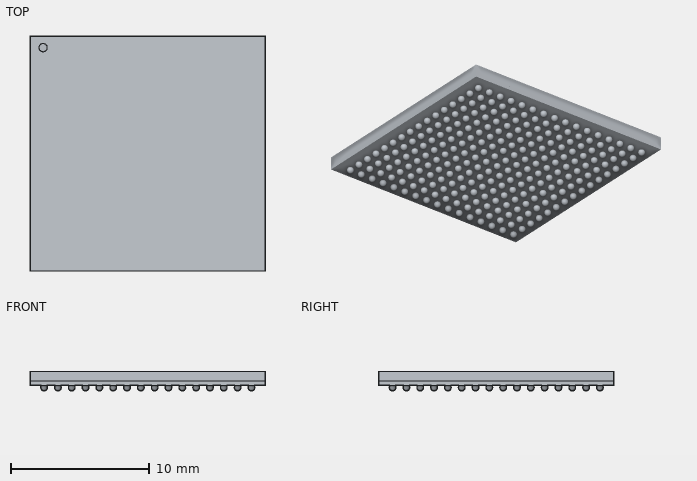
import cadquery as cq

package_side = 17.0
overall_height = 1.41

standoff = 0.40
substrate_thickness = 0.30
mold_thickness = overall_height - standoff - substrate_thickness
mold_base = standoff + substrate_thickness

balls_per_side = 16
ball_pitch = 1.0
ball_diameter = 0.5
ball_radius = ball_diameter / 2

pin_mark_diameter = 0.6
pin_mark_depth = 0.02
pin_mark_inset_x = 0.93
pin_mark_inset_y = 0.83


def make_substrate():
    """Square substrate with a full grid of solder balls sunk into and fused to its underside."""
    board = (
        cq.Workplane("XY")
        .workplane(offset=standoff)
        .rect(package_side, package_side)
        .extrude(substrate_thickness)
    )
    ball = cq.Solid.makeSphere(ball_radius, angleDegrees1=-90, angleDegrees2=90)
    balls = (
        cq.Workplane("XY")
        .workplane(offset=ball_radius)
        .rarray(ball_pitch, ball_pitch, balls_per_side, balls_per_side)
        .eachpoint(lambda place: ball.moved(place))
    )
    return cq.Workplane(board.val().fuse(*balls.vals()).Solids()[0])


def make_mold():
    """Mold cap with a shallow round pin 1 dimple near its (-X, +Y) corner."""
    cap = (
        cq.Workplane("XY")
        .workplane(offset=mold_base)
        .rect(package_side, package_side)
        .extrude(mold_thickness)
    )
    pin_mark_x = -package_side / 2 + pin_mark_inset_x
    pin_mark_y = package_side / 2 - pin_mark_inset_y
    return (
        cap.faces(">Z")
        .workplane()
        .center(pin_mark_x, pin_mark_y)
        .hole(pin_mark_diameter, pin_mark_depth)
    )


substrate = make_substrate()
mold = make_mold()

result = cq.Compound.makeCompound([substrate.val(), mold.val()])